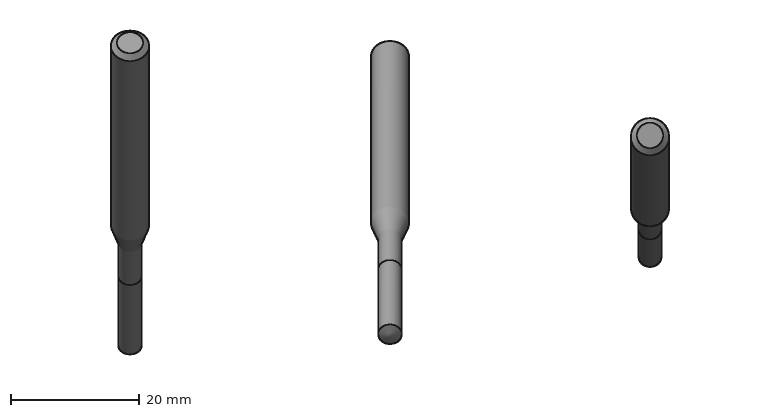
import cadquery as cq

total_length = 78.65
point_height = 0.6
cutter_length = 18.6
neck_top = 27.1
taper_top = 31.6

shank_diameter = 6.0
cutter_diameter = 3.7

chamfer_height = 0.8
chamfer_width = 0.95

shank_radius = shank_diameter / 2
cutter_radius = cutter_diameter / 2


def revolved_body(profile):
    """Turn a closed (radius, height) profile around the Z axis."""
    return cq.Workplane("XZ").polyline(profile).close().revolve(360, (0, 0, 0), (0, 1, 0))


def make_cutter():
    """Cylindrical cutting end with a shallow conical point."""
    return revolved_body([
        (0, 0),
        (cutter_radius, point_height),
        (cutter_radius, cutter_length),
        (0, cutter_length),
    ])


def make_shank():
    """Neck, conical transition and chamfered clamping shank."""
    return revolved_body([
        (0, cutter_length),
        (cutter_radius, cutter_length),
        (cutter_radius, neck_top),
        (shank_radius, taper_top),
        (shank_radius, total_length - chamfer_height),
        (shank_radius - chamfer_width, total_length),
        (0, total_length),
    ])


cutter = make_cutter()
shank = make_shank()

result = cq.Compound.makeCompound([cutter.val(), shank.val()])